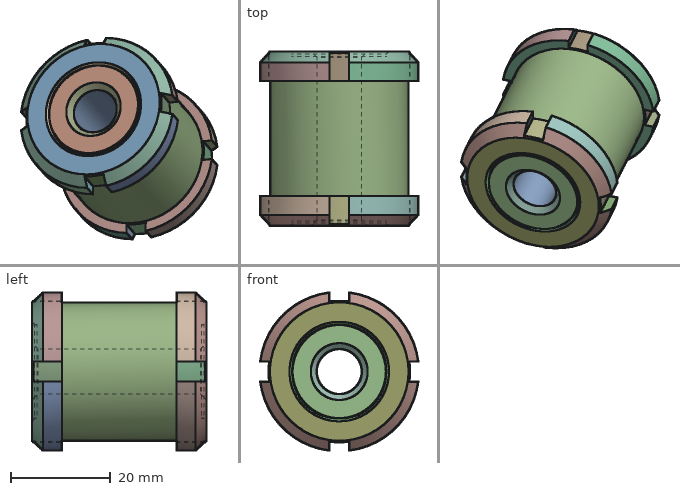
import cadquery as cq

length = 35.0
body_diameter = 27.8

flange_diameter = 32.0
flange_width = 6.0
flange_face_diameter = 27.8
flange_chamfer_length = 2.2

slot_count = 4
slot_width = 4.0
slot_floor_diameter = 28.42

bore_diameter = 9.0
bore_mouth_diameter = 11.4

groove_inner_diameter = 18.7
groove_outer_diameter = 18.9
groove_mouth_diameter = 20.0
groove_depth = 1.0

half_length = length / 2


def turn(points):
    """Revolve a closed (radius, y) outline about the Y axis."""
    return cq.Workplane("XY").polyline(points).close().revolve(360, (0, 0, 0), (0, 1, 0))


def make_end_flange():
    """Chamfered flange at the +Y end, with its wrench slots."""
    inner_y = half_length - flange_width
    chamfer_y = half_length - flange_chamfer_length
    flange = turn([
        (0, inner_y),
        (flange_diameter / 2, inner_y),
        (flange_diameter / 2, chamfer_y),
        (flange_face_diameter / 2, half_length),
        (0, half_length),
    ])

    slot_ring = turn([
        (slot_floor_diameter / 2, inner_y),
        (flange_diameter, inner_y),
        (flange_diameter, half_length),
        (slot_floor_diameter / 2, half_length),
    ])
    slot_bar = (
        cq.Workplane("XY")
        .box(slot_width, flange_width, flange_diameter, centered=(True, False, False))
        .translate((0, inner_y, 0))
    )
    for index in range(slot_count):
        turned_bar = slot_bar.rotate((0, 0, 0), (0, 1, 0), index * 360 / slot_count)
        flange = flange.cut(slot_ring.intersect(turned_bar))
    return flange


def make_end_groove():
    """Ring groove in the +Y end face, flared outward at 45 degrees."""
    flare = (groove_mouth_diameter - groove_outer_diameter) / 2
    floor_y = half_length - groove_depth
    return turn([
        (groove_inner_diameter / 2, floor_y),
        (groove_outer_diameter / 2, floor_y),
        (groove_outer_diameter / 2, half_length - flare),
        (groove_mouth_diameter / 2, half_length),
        (groove_inner_diameter / 2, half_length),
    ])


def make_bore():
    """Through bore along Y, with a 45 degree mouth at both ends."""
    mouth_y = half_length - (bore_mouth_diameter - bore_diameter) / 2
    return turn([
        (0, -half_length),
        (bore_mouth_diameter / 2, -half_length),
        (bore_diameter / 2, -mouth_y),
        (bore_diameter / 2, mouth_y),
        (bore_mouth_diameter / 2, half_length),
        (0, half_length),
    ])


def both_ends(feature):
    """Join a +Y end feature with its mirror image at the -Y end."""
    return feature.add(feature.mirror("XZ")).combine()


body = cq.Workplane("XZ").circle(body_diameter / 2).extrude(half_length, both=True)
result = body.union(both_ends(make_end_flange())).cut(both_ends(make_end_groove())).cut(make_bore())